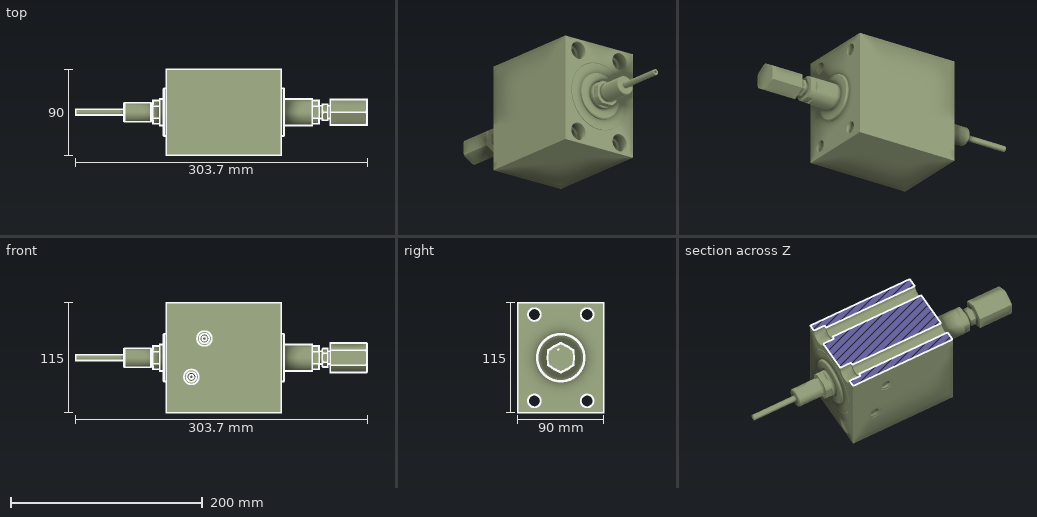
import cadquery as cq
import math


block_length = 120.0
block_width = 90.0
block_height = 115.0
bolt_spacing_y = 55.0
bolt_spacing_z = 90.0
bolt_hole_diameter = 13.0
bolt_head_diameter = 19.0
bolt_head_depth = 13.0

port_positions = [(39.8, 20.0), (26.2, -20.0)]
port_seat_diameter = 15.5
port_seat_depth = 0.5
port_thread_diameter = 10.0
port_thread_depth = 10.0
port_bottom_diameter = 4.5
port_cone_angle = 70.0

collar_diameter = 50.0
collar_height = 3.0
left_collar_chamfer = 1.0
right_collar_chamfer = 0.8

gland_diameter = 72.5
gland_depth = 18.0
gland_seat_chamfer = 0.75
wiper_diameter = 32.0
wiper_depth = 1.0

rod_diameter = 28.0
rod_end_diameter = 27.5
rod_flat_width = 24.5
rod_flat_length = 7.0
rod_left_reach = 13.8
rod_right_reach = 39.3
rod_socket_diameter = 21.0
rod_socket_depth = 1.0
rod_left_end = -rod_left_reach
rod_right_end = block_length + rod_right_reach

sensor_diameter = 20.0
sensor_left_chamfer = 0.8
sensor_right_chamfer = 1.0
sensor_left_end = -44.0
sensor_right_end = -15.3
cable_diameter = 6.3
cable_left_end = -94.5
cable_bore_diameter = 3.0
cable_bore_depth = 5.0

stud_diameter = 13.5
lock_nut_flats = 17.0
lock_nut_length = 6.0
rod_to_lock_nut = 3.2
lock_nut_to_coupler_nut = 2.4
lock_nut_start = rod_right_end + rod_to_lock_nut
lock_nut_end = lock_nut_start + lock_nut_length
coupler_nut_flats = 27.0
coupler_nut_start = lock_nut_end + lock_nut_to_coupler_nut
coupler_nut_end = 209.2
nut_chamfer = 1.0


def cylinder(diameter, start, end):
    """Cylinder on the X axis between two X positions."""
    return cq.Workplane("YZ", origin=(start, 0, 0)).circle(diameter / 2).extrude(end - start)


def hex_nut(flats, start, end, chamfered_side):
    """Hexagon on the X axis, corners at +Z and -Z, corners turned down on one side."""
    corners = flats / math.cos(math.pi / 6)
    prism = cq.Workplane("YZ", origin=(start, 0, 0)).polygon(6, corners).extrude(end - start)
    prism = prism.rotate((0, 0, 0), (1, 0, 0), 90)
    envelope = cylinder(corners, start, end).faces(chamfered_side).chamfer(nut_chamfer)
    return prism.intersect(envelope)


def collar(face_x, end_x, chamfer):
    """Ring on the X axis standing on a face, chamfered at its free end."""
    ring = cylinder(collar_diameter, face_x, end_x)
    return ring.faces(">X" if end_x > face_x else "<X").chamfer(chamfer)


def port_cutter(x, z):
    """Spot-faced port with a tapered, flat-ended bottom, entering from the -Y face."""
    thread_radius = port_thread_diameter / 2
    bottom_radius = port_bottom_diameter / 2
    cone_depth = (thread_radius - bottom_radius) / math.tan(math.radians(port_cone_angle / 2))
    profile = (
        cq.Workplane("XY")
        .lineTo(port_seat_diameter / 2, 0)
        .lineTo(port_seat_diameter / 2, port_seat_depth)
        .lineTo(thread_radius, port_seat_depth)
        .lineTo(thread_radius, port_thread_depth)
        .lineTo(bottom_radius, port_thread_depth + cone_depth)
        .lineTo(0, port_thread_depth + cone_depth)
        .close()
    )
    cutter = profile.revolve(360, (0, 0, 0), (0, 1, 0))
    return cutter.translate((x, -block_width / 2, z))


def make_block():
    block = cq.Workplane("XY").box(block_length, block_width, block_height, centered=(False, True, True))
    block = block.union(collar(block_length, block_length + collar_height, right_collar_chamfer))

    block = (
        block.faces("<X")
        .workplane(origin=(0, 0, 0))
        .rect(bolt_spacing_y, bolt_spacing_z, forConstruction=True)
        .vertices()
        .cboreHole(bolt_hole_diameter, bolt_head_diameter, bolt_head_depth)
    )

    seat = cylinder(gland_diameter, 0, gland_depth)
    block = block.cut(seat)
    seat_edges = block.edges(cq.selectors.RadiusNthSelector(-1))
    block = seat_edges.edges("<X").chamfer(gland_seat_chamfer)
    block = block.cut(cylinder(rod_diameter, 0, block_length + collar_height))

    for x, z in port_positions:
        block = block.cut(port_cutter(x, z))
    return block


def make_gland():
    gland = cylinder(gland_diameter, 0, gland_depth).union(collar(0, -collar_height, left_collar_chamfer))
    gland = gland.cut(cylinder(rod_diameter, -collar_height, gland_depth))
    return gland.cut(cylinder(wiper_diameter, -collar_height, wiper_depth - collar_height))


def make_rod():
    rod = cylinder(rod_diameter, rod_left_end + rod_flat_length, rod_right_end - rod_flat_length)
    for start in (rod_left_end, rod_right_end - rod_flat_length):
        flats = (
            cq.Workplane("YZ", origin=(start, 0, 0))
            .rect(rod_flat_width, rod_flat_width)
            .extrude(rod_flat_length)
            .intersect(cylinder(rod_end_diameter, start, start + rod_flat_length))
        )
        rod = rod.union(flats)
    return rod.cut(cylinder(rod_socket_diameter, rod_left_end, rod_left_end + rod_socket_depth))


def make_sensor():
    sensor = cylinder(sensor_diameter, sensor_left_end, sensor_right_end)
    sensor = sensor.faces("<X").chamfer(sensor_left_chamfer)
    sensor = sensor.faces(">X").chamfer(sensor_right_chamfer)
    neck_diameter = sensor_diameter - 2 * sensor_right_chamfer
    neck = cylinder(neck_diameter, sensor_right_end, rod_left_end + rod_socket_depth)
    cable = cylinder(cable_diameter, cable_left_end, sensor_left_end)
    cable_bore = cylinder(cable_bore_diameter, cable_left_end, cable_left_end + cable_bore_depth)
    return sensor.union(neck).union(cable).cut(cable_bore)


def make_coupler():
    stud = cylinder(stud_diameter, rod_right_end, coupler_nut_start)
    lock_nut = hex_nut(lock_nut_flats, lock_nut_start, lock_nut_end, "<X")
    coupler_nut = hex_nut(coupler_nut_flats, coupler_nut_start, coupler_nut_end, ">X")
    return stud.union(lock_nut).union(coupler_nut)


block = make_block()
gland = make_gland()
rod = make_rod()
sensor = make_sensor()
coupler = make_coupler()

bodies = [block, gland, rod, sensor, coupler]
result = cq.Compound.makeCompound([body.solids().val() for body in bodies])